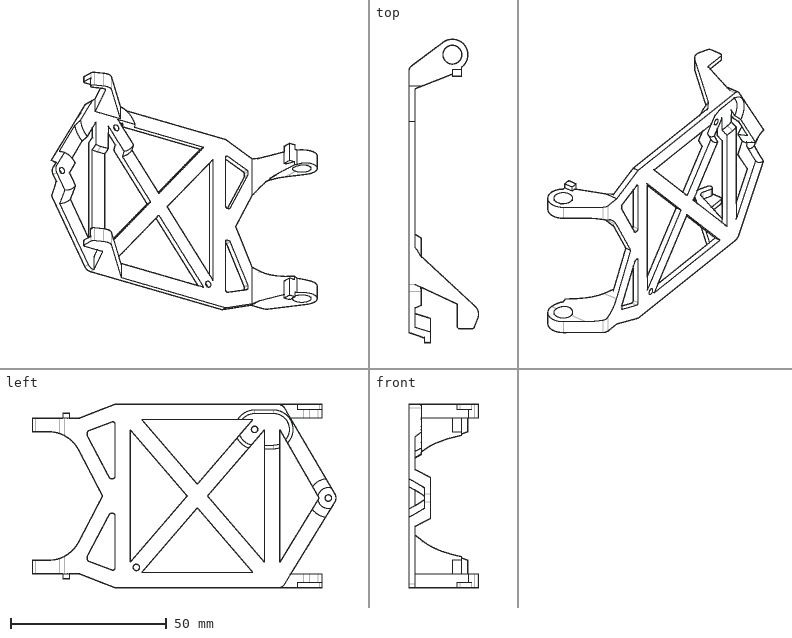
import cadquery as cq
import math

PLATE = 2.0
BAR = 5.0
HALF_HEIGHT = 29.5
BAR_OFFSET = 21.5
REAR_BAR_Y = BAR_OFFSET + BAR
FRONT_BAR_Y = -REAR_BAR_Y
RAIL_INNER_Z = HALF_HEIGHT - BAR
DIAGONAL_SLOPE = 1.163
FRONT_CORNER_Y = -27.3
FRONT_CORNER_RADIUS = 2.5
HOLE_DIAMETER = 2.0

NOSE_Y = -42.09
NOSE_Z = -0.65
NOSE_RADIUS = BAR / 2
NOSE_NOTCH = 3.0
ARM_ROOT_Z = 21.3

LUG_OUTER_Z = 25.0
LUG_INNER_Z = 20.6
LUG_SHOULDER_Y = 38.0
PIVOT_X = 14.0
PIVOT_Y = 48.0
PIVOT_DIAMETER = 6.0
PIVOT_RADIUS = 5.0
REAR_Y = PIVOT_Y + PIVOT_RADIUS
LUG_SLOPE = 0.75
LUG_HEEL_RADIUS = 2.0
LUG_INNER_Y = 37.0
LUG_FLANK_Y = 42.9
STOP_WIDTH = 3.0
STOP_Y = 41.0
STOP_TOP_Y = 43.2
STOP_OUTER_Z = 26.6

V_Y = 30.5
V_SLOPE = 1.93
V_RADIUS = 10.7

WINDOW_REAR_Y = 35.3
WINDOW_CORNER_Y = 28.1
WINDOW_LOW_Z = 5.6
WINDOW_SHOULDER_Z = 19.3
WINDOW_REAR_Z = 20.8
WINDOW_TOP_Z = 24.1
WINDOW_RADIUS = 0.6

HOOK_INNER_Z = LUG_OUTER_Z
HOOK_FLOOR = 1.75
HOOK_WALL = 2.0
HOOK_BEND_X = 18.95
HOOK_BEND_Y = -35.4
HOOK_BEND_RADIUS = 1.5
HOOK_END_Y = -40.1
HOOK_POCKET_X = 15.5
HOOK_FLOOR_RADIUS = 0.9
HOOK_UPPER_ANGLE = 42.8
HOOK_LOWER_ANGLE = 25.0
HOOK_LIP_ANGLE = 22.0

SEAT_RADIUS = 6.25
CORNER_SEAT_RIM = 3.0
NOSE_SEAT_RIM = 3.3
SEAT_TAPER = 30.0
CORNER_SEAT_DEPTH = 2.0
NOSE_SEAT_DEPTH = 5.0
SEAT_HOLE_Y = -18.4
SEAT_Z = 21.4
SEAT_FRONT_Y = -24.5
LOWER_HOLE = (19.6, -22.95)


def polar(center, radius, degrees):
    """Point at a radius and direction from a centre."""
    angle = math.radians(degrees)
    return (center[0] + radius * math.cos(angle), center[1] + radius * math.sin(angle))


def yz_prism(points, depth):
    """Polygon given as (Y, Z) points, extruded from X = 0 along +X."""
    return cq.Workplane("YZ").polyline(points).close().extrude(depth)


def nose_tangent(side):
    """Point where the outer edge of an arm (side +1 upper, -1 lower) touches the nose circle."""
    dy = FRONT_CORNER_Y - NOSE_Y
    dz = side * HALF_HEIGHT - NOSE_Z
    heading = math.degrees(math.atan2(dz, dy))
    spread = math.degrees(math.acos(NOSE_RADIUS / math.hypot(dy, dz)))
    return polar((NOSE_Y, NOSE_Z), NOSE_RADIUS, heading + side * spread)


def outline(depth):
    """Outer contour of the frame in YZ, without its windows."""
    v_corner_y = V_Y + LUG_INNER_Z / V_SLOPE
    body = (
        cq.Workplane("YZ")
        .moveTo(REAR_Y, LUG_OUTER_Z)
        .lineTo(LUG_SHOULDER_Y, LUG_OUTER_Z)
        .lineTo(REAR_BAR_Y, HALF_HEIGHT)
        .lineTo(FRONT_CORNER_Y, HALF_HEIGHT)
        .lineTo(*nose_tangent(1))
        .threePointArc((NOSE_Y - NOSE_RADIUS, NOSE_Z), nose_tangent(-1))
        .lineTo(FRONT_CORNER_Y, -HALF_HEIGHT)
        .lineTo(REAR_BAR_Y, -HALF_HEIGHT)
        .lineTo(LUG_SHOULDER_Y, -LUG_OUTER_Z)
        .lineTo(REAR_Y, -LUG_OUTER_Z)
        .lineTo(REAR_Y, -LUG_INNER_Z)
        .lineTo(v_corner_y, -LUG_INNER_Z)
        .lineTo(V_Y, 0)
        .lineTo(v_corner_y, LUG_INNER_Z)
        .lineTo(REAR_Y, LUG_INNER_Z)
        .close()
        .extrude(depth)
    )
    for side in (1, -1):
        v_edge = cq.selectors.NearestToPointSelector((depth / 2, v_corner_y, side * LUG_INNER_Z))
        body = body.edges("|X").edges(v_edge).fillet(V_RADIUS)
        front_edge = cq.selectors.NearestToPointSelector((depth / 2, FRONT_CORNER_Y, side * HALF_HEIGHT))
        body = body.edges("|X").edges(front_edge).fillet(FRONT_CORNER_RADIUS)
    return body


def side_profile():
    """Plate and hinge lugs as one XY section, running the full height."""
    pivot = (PIVOT_X, PIVOT_Y)
    stop_x = PIVOT_X + STOP_WIDTH
    normal = 90 + math.degrees(math.atan(LUG_SLOPE))
    tangent = polar(pivot, PIVOT_RADIUS, normal)
    heel_y = tangent[1] - LUG_SLOPE * tangent[0]
    stop_meets_hub_y = PIVOT_Y - math.sqrt(PIVOT_RADIUS**2 - STOP_WIDTH**2)
    front_y = NOSE_Y - 2 * NOSE_RADIUS
    body = (
        cq.Workplane("XY")
        .workplane(offset=-HALF_HEIGHT)
        .moveTo(0, front_y)
        .lineTo(0, heel_y)
        .lineTo(*tangent)
        .threePointArc((PIVOT_X + PIVOT_RADIUS, PIVOT_Y), (stop_x, stop_meets_hub_y))
        .lineTo(stop_x, LUG_FLANK_Y)
        .lineTo(PLATE, LUG_INNER_Y)
        .lineTo(PLATE, front_y)
        .close()
        .extrude(2 * HALF_HEIGHT)
    )
    heel_edge = cq.selectors.NearestToPointSelector((0, heel_y, 0))
    body = body.edges("|Z").edges(heel_edge).fillet(LUG_HEEL_RADIUS)
    bore = (
        cq.Workplane("XY")
        .workplane(offset=-HALF_HEIGHT)
        .center(*pivot)
        .circle(PIVOT_DIAMETER / 2)
        .extrude(2 * HALF_HEIGHT)
    )
    return body.cut(bore)


def stop_peg():
    """Small block beside the upper hinge lug, standing proud of its outer face."""
    peg = cq.Workplane("XY").box(
        STOP_WIDTH, STOP_TOP_Y - STOP_Y, STOP_OUTER_Z - LUG_INNER_Z, centered=False
    )
    return peg.translate((PIVOT_X, STOP_Y, LUG_INNER_Z))


def hook():
    """Upper front hook: an arm ending in a floor with a bent wall around its far side."""
    bend = (HOOK_BEND_X, HOOK_BEND_Y)
    outer_radius = HOOK_BEND_RADIUS + HOOK_WALL
    end_radius = HOOK_WALL / 2
    upper_normal = 90 - HOOK_UPPER_ANGLE
    lower_normal = 90 - HOOK_LOWER_ANGLE
    lip_normal = -HOOK_LIP_ANGLE

    upper_tangent = polar(bend, outer_radius, upper_normal)
    root_upper_y = upper_tangent[1] + upper_tangent[0] * math.tan(math.radians(HOOK_UPPER_ANGLE))
    lower_tangent = polar(bend, HOOK_BEND_RADIUS, lower_normal)
    lower_slope = math.tan(math.radians(HOOK_LOWER_ANGLE))
    root_lower_y = lower_tangent[1] + lower_tangent[0] * lower_slope
    pocket_y = root_lower_y - HOOK_POCKET_X * lower_slope

    wall_mid = polar(bend, HOOK_BEND_RADIUS + end_radius, lip_normal)
    end_y = HOOK_END_Y + end_radius
    end_x = wall_mid[0] - (wall_mid[1] - end_y) * math.tan(math.radians(HOOK_LIP_ANGLE))
    end = (end_x, end_y)

    def outer_side(plane):
        return (
            plane.moveTo(0, root_lower_y)
            .lineTo(0, root_upper_y)
            .lineTo(*upper_tangent)
            .threePointArc(polar(bend, outer_radius, 0), polar(bend, outer_radius, lip_normal))
            .lineTo(*polar(end, end_radius, lip_normal))
        )

    wall = (
        outer_side(cq.Workplane("XY").workplane(offset=HOOK_INNER_Z))
        .threePointArc(polar(end, end_radius, -90), polar(end, end_radius, 180 + lip_normal))
        .lineTo(*polar(bend, HOOK_BEND_RADIUS, lip_normal))
        .threePointArc(polar(bend, HOOK_BEND_RADIUS, (lower_normal + lip_normal) / 2), lower_tangent)
        .close()
        .extrude(HALF_HEIGHT - HOOK_INNER_Z)
    )
    corner = (HOOK_POCKET_X + HOOK_FLOOR_RADIUS, HOOK_END_Y + HOOK_FLOOR_RADIUS)
    floor = (
        outer_side(cq.Workplane("XY").workplane(offset=HALF_HEIGHT - HOOK_FLOOR))
        .threePointArc(polar(end, end_radius, (lip_normal - 90) / 2), polar(end, end_radius, -90))
        .lineTo(corner[0], HOOK_END_Y)
        .threePointArc(polar(corner, HOOK_FLOOR_RADIUS, 225), (HOOK_POCKET_X, corner[1]))
        .lineTo(HOOK_POCKET_X, pocket_y)
        .close()
        .extrude(HOOK_FLOOR)
    )
    return wall.union(floor)


def cross_windows():
    """Four triangular openings around the diagonal cross, deep enough to clear the corner swelling."""
    depth = PLATE + CORNER_SEAT_DEPTH
    apex_z = BAR / 2 * math.hypot(1, DIAGONAL_SLOPE)
    apex_y = apex_z / DIAGONAL_SLOPE
    base_y = (RAIL_INNER_Z - apex_z) / DIAGONAL_SLOPE
    base_z = DIAGONAL_SLOPE * (BAR_OFFSET - apex_y)
    cutters = cq.Workplane("YZ")
    for side in (1, -1):
        toward_rail = [(0, side * apex_z), (base_y, side * RAIL_INNER_Z), (-base_y, side * RAIL_INNER_Z)]
        toward_bar = [(side * apex_y, 0), (side * BAR_OFFSET, base_z), (side * BAR_OFFSET, -base_z)]
        cutters = cutters.add(yz_prism(toward_rail, depth))
        cutters = cutters.add(yz_prism(toward_bar, depth))
    return cutters.combine()


def front_window():
    """Opening between the front bar and the two arms."""
    corners = [(FRONT_BAR_Y, ARM_ROOT_Z), (FRONT_BAR_Y, -ARM_ROOT_Z), (NOSE_Y + NOSE_NOTCH, NOSE_Z)]
    return yz_prism(corners, PLATE + NOSE_SEAT_DEPTH)


def rear_window():
    """Upper opening between the rear bar, the rail and the V."""
    corners = [
        (REAR_BAR_Y, WINDOW_TOP_Z),
        (WINDOW_REAR_Y, WINDOW_REAR_Z),
        (WINDOW_REAR_Y, WINDOW_SHOULDER_Z),
        (WINDOW_CORNER_Y, WINDOW_LOW_Z),
        (REAR_BAR_Y, WINDOW_LOW_Z),
    ]
    return yz_prism(corners, PLATE).edges("|X").fillet(WINDOW_RADIUS)


def tapered_seat(start, depth, radius, first_y, last_y, z):
    """Tapering round or oblong solid along +X, its end centres at first_y and last_y."""
    span = abs(first_y - last_y)
    plane = cq.Workplane("YZ").workplane(offset=start).center((first_y + last_y) / 2, z)
    if span > 0:
        plane = plane.slot2D(span + 2 * radius, 2 * radius)
    else:
        plane = plane.circle(radius)
    return plane.extrude(depth, taper=SEAT_TAPER)


def x_hole(y, z):
    """Screw hole along X through the frame."""
    depth = PLATE + NOSE_SEAT_DEPTH
    return cq.Workplane("YZ").center(y, z).circle(HOLE_DIAMETER / 2).extrude(depth)


def mirrored_pair(body):
    """A body together with its mirror image below Z = 0."""
    return body.union(body.mirror("XY"))


SEATS = [
    (CORNER_SEAT_DEPTH, CORNER_SEAT_RIM, SEAT_HOLE_Y, SEAT_FRONT_Y, SEAT_Z),
    (NOSE_SEAT_DEPTH, NOSE_SEAT_RIM, NOSE_Y, NOSE_Y, NOSE_Z),
]

frame = side_profile()

for depth, rim, first_y, last_y, z in SEATS:
    frame = frame.union(tapered_seat(PLATE, depth, SEAT_RADIUS + rim, first_y, last_y, z))
frame = frame.intersect(outline(PIVOT_X + 2 * PIVOT_RADIUS))
frame = frame.cut(cross_windows()).cut(front_window()).cut(mirrored_pair(rear_window()))
frame = frame.union(mirrored_pair(stop_peg())).union(mirrored_pair(hook()))

for depth, _, first_y, last_y, z in SEATS:
    frame = frame.cut(tapered_seat(0, depth, SEAT_RADIUS, first_y, last_y, z))
for y, z in [(SEAT_HOLE_Y, SEAT_Z), LOWER_HOLE, (NOSE_Y, NOSE_Z)]:
    frame = frame.cut(x_hole(y, z))

result = frame